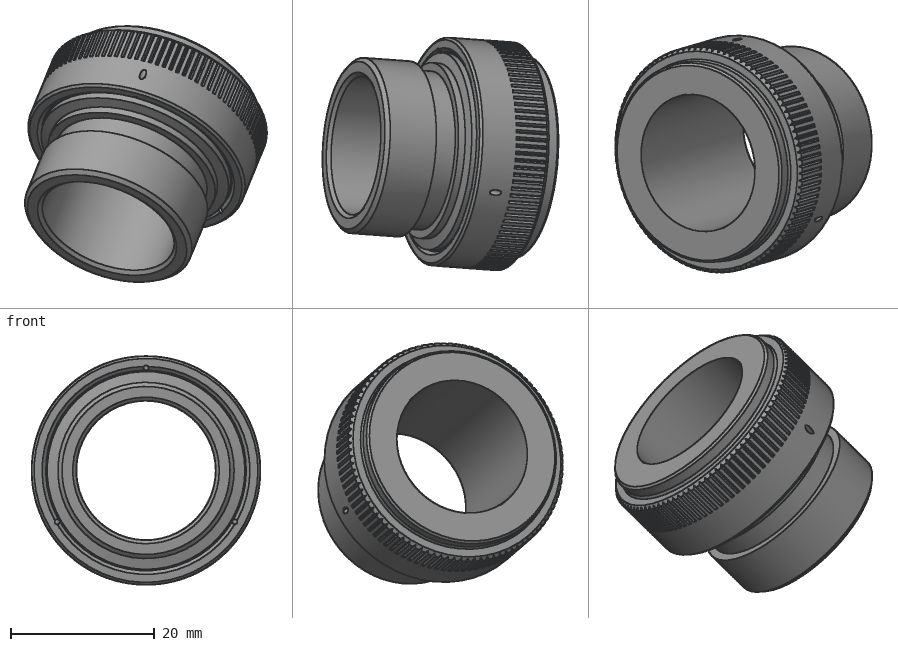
import cadquery as cq
import math

total_length = 25.2

bore_radius = 9.67
bore_chamfer = 0.5
tube_radius = 12.25
tube_chamfer = 0.57
groove_radius = 11.07
groove_start = 7.47
groove_end = 10.78
shoulder_start = 11.8
shoulder_radius = 13.75
shoulder_cone_end = 12.18

ring_radius = 15.9
ring_start = 12.62
ring_end = 23.1
ring_front_chamfer = 0.35
ring_back_chamfer = 0.5
recess_radius = 14.45
clearance_radius = 13.93
recess_depth = recess_radius - clearance_radius

collar_radius = 14.05
collar_chamfer = 0.32
collar_flare_length = 0.4
collar_flare = 0.22

knurl_count = 99
knurl_start = 18.03
knurl_width = 0.45
knurl_depth = 0.32

pin_count = 3
pin_diameter = 0.8
pin_entry_y = 15.75
pin_slant = 28.0
pin_depth = 1.9
pin_lead = 1.27
socket_diameter = 0.7
socket_centre_radius = 14.25
socket_depth = 0.75


def turned_body():
    profile = [
        (bore_radius + bore_chamfer, 0),
        (tube_radius - tube_chamfer, 0),
        (tube_radius, tube_chamfer),
        (tube_radius, groove_start),
        (groove_radius, groove_start),
        (groove_radius, groove_end),
        (tube_radius, groove_end),
        (tube_radius, shoulder_start),
        (shoulder_radius, shoulder_cone_end),
        (shoulder_radius, ring_start + recess_depth),
        (clearance_radius, ring_start + recess_depth),
        (recess_radius, ring_start),
        (ring_radius - ring_front_chamfer, ring_start),
        (ring_radius, ring_start + ring_front_chamfer),
        (ring_radius, ring_end - ring_back_chamfer),
        (ring_radius - ring_back_chamfer, ring_end),
        (collar_radius + collar_flare, ring_end),
        (collar_radius, ring_end + collar_flare_length),
        (collar_radius, total_length - collar_chamfer),
        (collar_radius - collar_chamfer, total_length),
        (bore_radius, total_length),
        (bore_radius, bore_chamfer),
    ]
    return cq.Workplane("XY").polyline(profile).close().revolve(360, (0, 0, 0), (0, 1, 0))


def ring_point(radius, angle):
    return (-radius * math.cos(angle), radius * math.sin(angle))


def knurl_cutter():
    root_radius = ring_radius - knurl_depth
    outer_radius = ring_radius + knurl_depth
    half_width = knurl_width * (outer_radius - root_radius) / knurl_depth / 2
    half_angle = half_width / outer_radius
    cutter = cq.Workplane("XZ", origin=(0, ring_end, 0))
    for i in range(knurl_count):
        angle = 2 * math.pi * i / knurl_count
        groove = [
            ring_point(root_radius, angle),
            ring_point(outer_radius, angle - half_angle),
            ring_point(outer_radius, angle + half_angle),
        ]
        cutter = cutter.polyline(groove).close()
    return cutter.extrude(ring_end - knurl_start)


def pin_hole_cutter():
    slant = math.radians(pin_slant)
    direction = cq.Vector(0, -math.cos(slant), -math.sin(slant))
    start = cq.Vector(0, pin_entry_y, ring_radius) - direction * pin_lead
    return cq.Workplane(cq.Solid.makeCylinder(pin_diameter / 2, pin_lead + pin_depth, start, direction))


def socket_cutter():
    front = cq.Workplane("XZ", origin=(0, ring_start, socket_centre_radius))
    return front.circle(socket_diameter / 2).extrude(-socket_depth)


result = turned_body().cut(knurl_cutter())
for i in range(pin_count):
    turn = i * 360 / pin_count
    for cutter in (pin_hole_cutter(), socket_cutter()):
        result = result.cut(cutter.rotate((0, 0, 0), (0, 1, 0), turn))